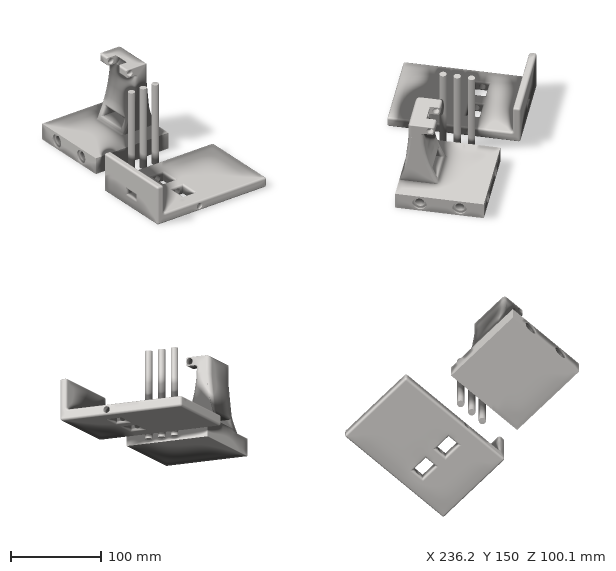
import cadquery as cq
import math

rounding = 2.4
pin_hole_diameter = 7.5
margin = 0.2

base_side = 100.0
base_height = 19.8
socket_spacing = 45.0
socket_bore_diameter = 15.5
socket_bore_depth = 2.4
socket_ball_diameter = 10.5

stand_height = 100.1
tower_width = 50.0
tower_left = (base_side - tower_width) / 2
tower_right = tower_left + tower_width
tower_middle = base_side / 2

neck_front = 73.2
toe_front = 55.7
lip_front = 60.5
lip_thickness = 10.2
lip_bottom = stand_height - lip_thickness
lip_root_radius = 2.5
front_edge_radius = 3.0

spine_back = 90.5
spine_bend_height = 77.0
spine_bend_radius = 99.2
spine_lean = 6.0
spine_edge_radius = 4.7

flank_back = 87.0
flank_top = 82.2
flank_foot = 99.7
flank_core = 78.0

top_edge_radius = 1.0

window_width = 34.0
window_height = 10.0
window_bottom = 24.8

lip_pin_y = 65.2
lip_pin_z = stand_height - lip_thickness / 2
notch_width = 20.5
notch_root_y = 72.0
notch_ramp = 45.0
notch_radius = lip_thickness / 2

rod_diameter = 8.0
rod_length = stand_height
rod_centres = [(117.8, 36.0), (117.8, 52.0), (118.5, 68.0)]

overall_length = 236.2
bracket_width = 100.0
bracket_left = overall_length - bracket_width
bracket_front = -15.5
bracket_depth = 150.0
plate_thickness = 12.0
wall_height = 47.5
wall_thickness = 8.5
plate_window_width = 21.3
plate_window_depth = 15.0
plate_window_y = 42.0
plate_window_xs = (168.6, 205.5)
slot_width = 16.0
slot_height = 6.0
slot_x = 186.8
slot_bottom = 14.5

bracket_back = bracket_front + bracket_depth
wall_back = bracket_front + wall_thickness


def box(x0, x1, y0, y1, z0, z1):
    return cq.Workplane("XY").box(x1 - x0, y1 - y0, z1 - z0, centered=False).translate((x0, y0, z0))


def side_profile(x0):
    """Sketch plane at X = x0 with local axes Y and Z, extruding towards +X."""
    return cq.Workplane("YZ", origin=(x0, 0, 0))


def tangent_arc_middle(upright_y, upright_z, end_y, end_z):
    """Middle point of an arc that starts upright at one point and ends at another."""
    run = end_y - upright_y
    drop = upright_z - end_z
    radius = (run**2 + drop**2) / (2 * abs(run))
    half = math.asin(drop / radius) / 2
    side = math.copysign(1, run)
    return (upright_y + side * radius * (1 - math.cos(half)), upright_z - radius * math.sin(half))


def inside(x0, x1, y0, y1, z0, z1):
    """Selector for the edges whose middles lie inside a box."""
    return cq.selectors.BoxSelector((x0, y0, z0), (x1, y1, z1))


def notch():
    """Opening in the lip with a rounded root that runs out in a slope below the lip."""
    ramp = math.radians(notch_ramp)
    arc_middle = (notch_root_y + notch_radius, lip_pin_z)
    arc_end_y = notch_root_y + notch_radius * math.sin(ramp)
    arc_end_z = lip_pin_z - notch_radius * math.cos(ramp)
    floor = lip_bottom - lip_root_radius
    ramp_end_y = arc_end_y - (arc_end_z - floor) / math.tan(ramp)
    return (
        side_profile(tower_middle - notch_width / 2)
        .moveTo(notch_root_y, stand_height)
        .threePointArc(arc_middle, (arc_end_y, arc_end_z))
        .lineTo(ramp_end_y, floor)
        .lineTo(lip_front, floor)
        .lineTo(lip_front, stand_height)
        .close()
        .extrude(notch_width)
    )


def spine_block():
    """Upright body with the lip, a curved front face and a leaning back face."""
    lean_run = (spine_bend_height - base_height) * math.tan(math.radians(spine_lean))
    block = (
        side_profile(tower_left)
        .moveTo(spine_back, stand_height)
        .lineTo(lip_front, stand_height)
        .lineTo(lip_front, lip_bottom)
        .lineTo(neck_front, lip_bottom)
        .threePointArc(
            tangent_arc_middle(neck_front, lip_bottom, toe_front, base_height),
            (toe_front, base_height),
        )
        .lineTo(spine_back + lean_run, base_height)
        .lineTo(spine_back, spine_bend_height)
        .close()
        .extrude(tower_width)
    )
    bend = inside(
        tower_left, tower_right,
        spine_back - margin, spine_back + margin,
        spine_bend_height - margin, spine_bend_height + margin,
    )
    return block.edges(bend).fillet(spine_bend_radius).cut(notch())


def spine():
    """The spine block with its lip, back and top edges rounded."""
    lip_face = inside(
        tower_left - margin, tower_right + margin,
        lip_front - margin, lip_front + margin,
        lip_bottom - margin, stand_height + margin,
    )
    back_and_ends = inside(
        tower_left - margin, tower_right + margin,
        spine_back - margin, base_side,
        base_height + margin, stand_height + margin,
    )
    top_sides = inside(
        tower_left - margin, tower_right + margin,
        lip_front + rounding, spine_back - margin,
        stand_height - margin, stand_height + margin,
    )
    body = spine_block()
    body = body.edges(lip_face).fillet(rounding)
    body = body.edges(back_and_ends).edges("(not #Z) or >Z").fillet(spine_edge_radius)
    outer_sides = "<X or >X"
    return body.edges(top_sides).edges("|Y").edges(outer_sides).fillet(top_edge_radius)


def lip_root():
    """Concave rounding between the lip and the spine, following the spine's rounded front edges."""
    corner_y = neck_front + front_edge_radius
    outer_reach = front_edge_radius + lip_root_radius
    drop = lip_bottom - lip_root_radius
    sag = lip_root_radius * math.sqrt(0.5)

    def profile(x):
        return (
            cq.Workplane("YZ", origin=(x, corner_y, 0))
            .moveTo(0, lip_bottom)
            .lineTo(-outer_reach, lip_bottom)
            .threePointArc((sag - outer_reach, drop + sag), (-front_edge_radius, drop))
            .lineTo(0, drop)
            .close()
        )

    corner_left = tower_left + front_edge_radius
    corner_right = tower_right - front_edge_radius
    root = profile(corner_left).extrude(corner_right - corner_left)
    for x in (corner_left, corner_right):
        root = root.union(profile(x).revolve(360, (0, 0), (0, 1)))
    lip_shadow = box(tower_left, tower_right, lip_front, corner_y, drop, lip_bottom)
    return root.intersect(lip_shadow).cut(notch())


def flank():
    """Full-width flare behind the spine, curving out to the back of the base."""
    return (
        side_profile(tower_left)
        .moveTo(flank_back, flank_top)
        .threePointArc(
            tangent_arc_middle(flank_back, flank_top, flank_foot, base_height),
            (flank_foot, base_height),
        )
        .lineTo(flank_core, base_height)
        .lineTo(flank_core, flank_top)
        .close()
        .extrude(tower_width)
    )


def cut_tower_window(body):
    """Opening through the foot of the tower, both rims rounded."""
    left = tower_middle - window_width / 2
    right = tower_middle + window_width / 2
    top = window_bottom + window_height
    body = body.cut(box(left, right, 0, base_side, window_bottom, top))
    rims = inside(left - margin, right + margin, 0, base_side, window_bottom - margin, top + margin)
    return body.edges(rims).edges("not |Y").fillet(rounding)


def socket():
    """Cutter of one ball socket entering along +Y from the origin."""
    bore = cq.Workplane("XZ").circle(socket_bore_diameter / 2).extrude(-socket_bore_depth)
    ball = cq.Workplane("XZ", origin=(0, socket_bore_depth, 0)).sphere(socket_ball_diameter / 2)
    return bore.union(ball)


def cut_sockets(body):
    """Two ball sockets in the front face and two in the left face of the base."""
    height = base_height / 2
    from_left = socket().rotate((0, 0, 0), (0, 0, 1), -90)
    for side in (-1, 1):
        along = base_side / 2 + side * socket_spacing / 2
        body = body.cut(socket().translate((along, 0, height)))
        body = body.cut(from_left.translate((0, along, height)))
    return body


def stand():
    """Base block and tower in one piece."""
    body = box(0, base_side, 0, base_side, 0, base_height).union(spine())
    front_edges = inside(
        tower_left - margin, tower_right + margin,
        toe_front - margin, neck_front - margin,
        base_height - margin, lip_bottom - rounding - margin,
    )
    body = body.edges(front_edges).edges("not |Y").fillet(front_edge_radius)
    body = body.union(lip_root()).union(flank())
    body = cut_tower_window(body)
    pin_hole = side_profile(tower_left).center(lip_pin_y, lip_pin_z).circle(pin_hole_diameter / 2)
    body = body.cut(pin_hole.extrude(tower_width))
    return cut_sockets(body)


def rod(x, y):
    return cq.Workplane("XY").center(x, y).circle(rod_diameter / 2).extrude(rod_length)


def bracket_blank():
    """L-shaped plate and wall, every edge rounded."""
    return (
        side_profile(bracket_left)
        .moveTo(bracket_front, 0)
        .lineTo(bracket_back, 0)
        .lineTo(bracket_back, plate_thickness)
        .lineTo(wall_back, plate_thickness)
        .lineTo(wall_back, wall_height)
        .lineTo(bracket_front, wall_height)
        .close()
        .extrude(bracket_width)
        .edges()
        .fillet(rounding)
    )


def cut_plate_window(body, x):
    """Opening down through the plate, both rims rounded."""
    left = x - plate_window_width / 2
    right = x + plate_window_width / 2
    front = plate_window_y - plate_window_depth / 2
    back = plate_window_y + plate_window_depth / 2
    body = body.cut(box(left, right, front, back, 0, plate_thickness))
    rims = inside(
        left - margin, right + margin, front - margin, back + margin, -margin, plate_thickness + margin
    )
    return body.edges(rims).edges("#Z").fillet(rounding)


def cut_wall_slot(body):
    """Slot through the wall, rounded at its front rim."""
    left = slot_x - slot_width / 2
    right = slot_x + slot_width / 2
    top = slot_bottom + slot_height
    body = body.cut(box(left, right, bracket_front, wall_back, slot_bottom, top))
    rim = inside(
        left - margin, right + margin,
        bracket_front - margin, bracket_front + margin,
        slot_bottom - margin, top + margin,
    )
    return body.edges(rim).fillet(rounding)


def bracket():
    body = bracket_blank()
    for x in plate_window_xs:
        body = cut_plate_window(body, x)
    body = cut_wall_slot(body)
    pin_hole = (
        side_profile(bracket_left)
        .center(plate_window_y, plate_thickness / 2)
        .circle(pin_hole_diameter / 2)
    )
    return body.cut(pin_hole.extrude(bracket_width))


rods = [rod(x, y) for x, y in rod_centres]
result = cq.Compound.makeCompound([stand().val(), *[body.val() for body in rods], bracket().val()])